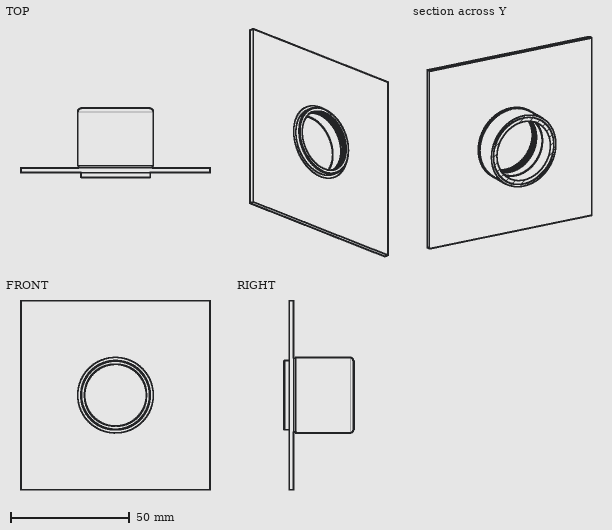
import cadquery as cq

plate_side = 80.0
plate_thickness = 2.0

sleeve_radius = 16.0
neck_radius = 15.7
neck_start = plate_thickness
neck_end = 2.9
sleeve_end = 27.2
sleeve_edge_fillet = 1.4

cup_radius = 14.7
cup_front = -2.2
cup_back = 27.5
cup_edge_chamfer = 0.3
bore_radius = 13.0
floor_thickness = 1.7

groove_radius = 13.4
groove_start = 1.2
groove_end = 2.1
relief_radius = 13.3
relief_start = 3.3
relief_end = 8.2


def cylinder(radius, start, end):
    """Solid cylinder along +Y between two Y positions."""
    return cq.Workplane("XZ", origin=(0, start, 0)).circle(radius).extrude(start - end)


def make_plate():
    hole = cylinder(sleeve_radius, 0, plate_thickness)
    return cq.Workplane("XY").box(
        plate_side, plate_thickness, plate_side, centered=(True, False, True)
    ).cut(hole)


def make_sleeve():
    barrel = cylinder(sleeve_radius, 0, sleeve_end).faces(">Y").edges().fillet(sleeve_edge_fillet)
    neck_groove = cylinder(sleeve_radius, neck_start, neck_end).cut(
        cylinder(neck_radius, neck_start, neck_end)
    )
    return barrel.cut(neck_groove).cut(cylinder(cup_radius, 0, sleeve_end))


def make_cup():
    body = cylinder(cup_radius, cup_front, cup_back).faces("<Y or >Y").edges().chamfer(cup_edge_chamfer)
    bore = cylinder(bore_radius, cup_front, cup_back - floor_thickness)
    groove = cylinder(groove_radius, cup_front + groove_start, cup_front + groove_end)
    relief = cylinder(relief_radius, cup_front + relief_start, cup_front + relief_end)
    return body.cut(bore).cut(groove).cut(relief)


plate = make_plate()
sleeve = make_sleeve()
cup = make_cup()

result = cq.Compound.makeCompound([plate.val(), sleeve.val(), cup.val()])